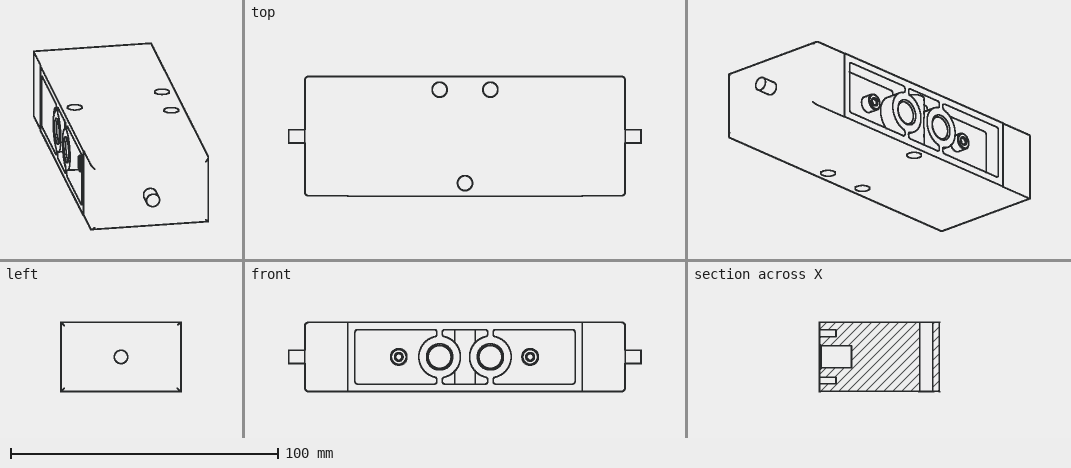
import cadquery as cq

BODY_LENGTH = 120.0
BODY_DEPTH = 45.0
BODY_HEIGHT = 26.0
END_FILLET = 1.5
END_CAP_LENGTH = 16.0
CAP_SETBACK = 0.2

OVERALL_LENGTH = 132.0
END_PIN_DIAMETER = 5.0

MOUNT_HOLE_DIAMETER = 5.5
MOUNT_HOLE_Y = 17.5
MOUNT_COLUMN_DIAMETER = 7.5

POCKET_LENGTH = 82.4
POCKET_HEIGHT = 20.4
POCKET_DEPTH = 6.2
POCKET_FILLET = 1.0

PORT_X = 9.5
PORT_BOSS_DIAMETER = 15.6
PORT_BORE_DIAMETER = 8.57
PORT_MOUTH_DIAMETER = 9.8
PORT_BORE_DEPTH = 12.0
WEB_THICKNESS = 2.0

SCREW_SPACING = 49.2
SCREW_OFFSET = -0.2
SCREW_DIAMETER = 6.15
SCREW_HEIGHT = 4.0
SCREW_EDGE_CHAMFER = 0.3
SCREW_SOCKET_DIAMETER = 2.46
SCREW_SOCKET_MOUTH_DIAMETER = 3.2
SCREW_SOCKET_DEPTH = 2.0

FRONT_Y = -BODY_DEPTH / 2
FLOOR_Y = FRONT_Y + POCKET_DEPTH
PORT_POSITIONS = (-PORT_X, PORT_X)
SCREW_POSITIONS = (SCREW_OFFSET - SCREW_SPACING / 2, SCREW_OFFSET + SCREW_SPACING / 2)


def cylinder_inward(x, y, diameter, length):
    """Cylinder on an axis along +Y, starting at depth y."""
    solid = cq.Solid.makeCylinder(diameter / 2, length, cq.Vector(x, y, 0), cq.Vector(0, 1, 0))
    return cq.Workplane(solid)


def bore_inward(x, y, diameter, mouth_diameter, depth):
    """Blind bore along +Y with a 45 degree countersunk mouth."""
    mouth_depth = (mouth_diameter - diameter) / 2
    mouth = cq.Solid.makeCone(
        mouth_diameter / 2, diameter / 2, mouth_depth, cq.Vector(x, y, 0), cq.Vector(0, 1, 0)
    )
    return cylinder_inward(x, y, diameter, depth).union(cq.Workplane(mouth))


def make_body():
    """Block with rounded end faces and end caps set slightly back at the front."""
    body = cq.Workplane().box(BODY_LENGTH, BODY_DEPTH, BODY_HEIGHT)
    cap_center_x = (BODY_LENGTH - END_CAP_LENGTH) / 2
    for side in (-1, 1):
        relief = cq.Workplane().box(END_CAP_LENGTH, CAP_SETBACK, BODY_HEIGHT)
        body = body.cut(relief.translate((side * cap_center_x, FRONT_Y + CAP_SETBACK / 2, 0)))
    return body.faces("<X or >X").edges().fillet(END_FILLET)


def make_pocket():
    """Front pocket volume, split by the port bosses and their webs."""
    pocket = cq.Workplane().box(POCKET_LENGTH, POCKET_DEPTH, POCKET_HEIGHT)
    pocket = pocket.translate((0, FRONT_Y + POCKET_DEPTH / 2, 0))
    for x in PORT_POSITIONS:
        pocket = pocket.cut(cylinder_inward(x, FRONT_Y, PORT_BOSS_DIAMETER, POCKET_DEPTH))
        web = cq.Workplane().box(WEB_THICKNESS, POCKET_DEPTH, POCKET_HEIGHT)
        pocket = pocket.cut(web.translate((x, FRONT_Y + POCKET_DEPTH / 2, 0)))
    return pocket.edges("|Y").fillet(POCKET_FILLET)


def make_mount_column():
    """Wall around the front mounting hole, spanning the pocket from bottom to top."""
    column = cq.Workplane().cylinder(POCKET_HEIGHT, MOUNT_COLUMN_DIAMETER / 2)
    return column.translate((0, -MOUNT_HOLE_Y, 0))


def make_screw(x):
    """Screw head on the pocket floor with a round countersunk socket."""
    head = cylinder_inward(x, FLOOR_Y - SCREW_HEIGHT, SCREW_DIAMETER, SCREW_HEIGHT)
    head = head.faces("<Y").edges().chamfer(SCREW_EDGE_CHAMFER)
    socket = bore_inward(
        x,
        FLOOR_Y - SCREW_HEIGHT,
        SCREW_SOCKET_DIAMETER,
        SCREW_SOCKET_MOUTH_DIAMETER,
        SCREW_SOCKET_DEPTH,
    )
    return head.cut(socket)


def make_mount_holes():
    """One vertical through hole near the front face and two near the back."""
    positions = [(0, -MOUNT_HOLE_Y)] + [(x, MOUNT_HOLE_Y) for x in PORT_POSITIONS]
    return (
        cq.Workplane()
        .pushPoints(positions)
        .circle(MOUNT_HOLE_DIAMETER / 2)
        .extrude(BODY_HEIGHT / 2, both=True)
    )


def make_end_pins():
    """Single rod along X whose ends stand out of the block."""
    return cq.Workplane("YZ").circle(END_PIN_DIAMETER / 2).extrude(OVERALL_LENGTH / 2, both=True)


result = make_body().union(make_end_pins())
result = result.cut(make_pocket()).union(make_mount_column())
for port_x in PORT_POSITIONS:
    result = result.cut(
        bore_inward(port_x, FRONT_Y, PORT_BORE_DIAMETER, PORT_MOUTH_DIAMETER, PORT_BORE_DEPTH)
    )
for screw_x in SCREW_POSITIONS:
    result = result.union(make_screw(screw_x))
result = result.cut(make_mount_holes())